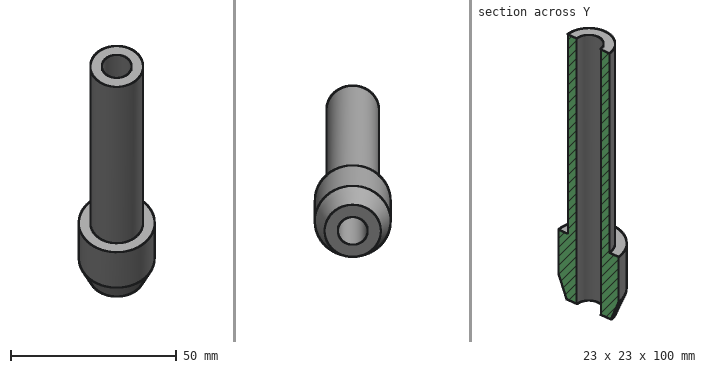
import cadquery as cq

total_height = 100.0
bore_diameter = 9.0
tube_diameter = 16.0

collar_diameter = 23.0
collar_top = 25.0
nose_height = 8.0
nose_tip_diameter = 17.0

bore_radius = bore_diameter / 2
tube_radius = tube_diameter / 2
collar_radius = collar_diameter / 2
nose_tip_radius = nose_tip_diameter / 2

half_section = [
    (bore_radius, 0),
    (nose_tip_radius, 0),
    (collar_radius, nose_height),
    (collar_radius, collar_top),
    (tube_radius, collar_top),
    (tube_radius, total_height),
    (bore_radius, total_height),
]

result = cq.Workplane("XZ").polyline(half_section).close().revolve(360, (0, 0), (0, 1))